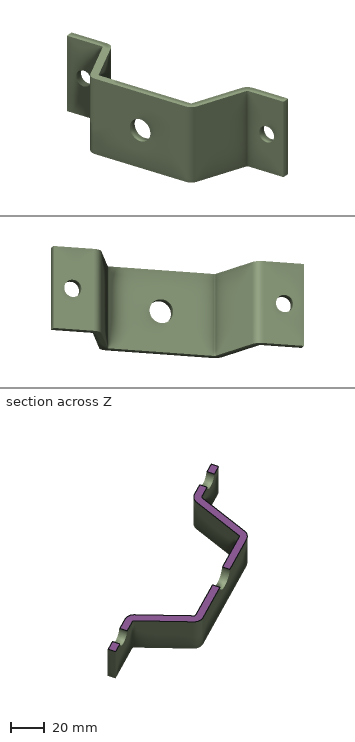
import cadquery as cq
import math

overall_length = 154.0
overall_depth = 42.13
height = 50.0
thickness = 5.0
inside_bend_radius = 1.0
bend_angle = math.radians(68.0)
flange_flat_length = 25.0
mounting_hole_spacing = 130.0
mounting_hole_diameter = 10.5
center_hole_diameter = 14.5

outside_bend_radius = inside_bend_radius + thickness
half_length = overall_length / 2
bend_sine = math.sin(bend_angle)
bend_cosine = math.cos(bend_angle)
bend_radii_sum = inside_bend_radius + outside_bend_radius
bends_depth = bend_radii_sum * (1 - bend_cosine)
leg_length = (overall_depth - thickness - bends_depth) / bend_sine
bends_and_leg_length = bend_radii_sum * bend_sine + leg_length * bend_cosine
upper_bend_center = (half_length - flange_flat_length, overall_depth - outside_bend_radius)
lower_bend_center = (upper_bend_center[0] - bends_and_leg_length, outside_bend_radius)


def lower_bend_point(radius, angle):
    """Point on the bend beside the center plate; angle is turned from the plate."""
    x, y = lower_bend_center
    return x + radius * math.sin(angle), y - radius * math.cos(angle)


def upper_bend_point(radius, angle):
    """Point on the bend beside the mounting flange; angle is turned from the flange."""
    x, y = upper_bend_center
    return x - radius * math.sin(angle), y + radius * math.cos(angle)


def make_half_strip():
    """Right half of the bent strip, from the middle plane to the flange end."""
    half_bend = bend_angle / 2
    return (
        cq.Workplane("XY", origin=(0, 0, -height / 2))
        .moveTo(0, 0)
        .lineTo(*lower_bend_point(outside_bend_radius, 0))
        .threePointArc(
            lower_bend_point(outside_bend_radius, half_bend),
            lower_bend_point(outside_bend_radius, bend_angle),
        )
        .lineTo(*upper_bend_point(inside_bend_radius, bend_angle))
        .threePointArc(
            upper_bend_point(inside_bend_radius, half_bend),
            upper_bend_point(inside_bend_radius, 0),
        )
        .lineTo(half_length, overall_depth - thickness)
        .lineTo(half_length, overall_depth)
        .lineTo(*upper_bend_point(outside_bend_radius, 0))
        .threePointArc(
            upper_bend_point(outside_bend_radius, half_bend),
            upper_bend_point(outside_bend_radius, bend_angle),
        )
        .lineTo(*lower_bend_point(inside_bend_radius, bend_angle))
        .threePointArc(
            lower_bend_point(inside_bend_radius, half_bend),
            lower_bend_point(inside_bend_radius, 0),
        )
        .lineTo(0, thickness)
        .close()
        .extrude(height)
    )


def make_hole_cutter(x, plate_face_y, diameter):
    """Cylinder along Y through a plate whose front face is at plate_face_y."""
    return cq.Workplane("XZ", origin=(x, plate_face_y, 0)).circle(diameter / 2).extrude(-thickness)


half_strip = make_half_strip()
result = half_strip.union(half_strip.mirror("YZ")).clean()

result = result.cut(make_hole_cutter(0, 0, center_hole_diameter))
for side in (-1, 1):
    hole_x = side * mounting_hole_spacing / 2
    result = result.cut(make_hole_cutter(hole_x, overall_depth - thickness, mounting_hole_diameter))